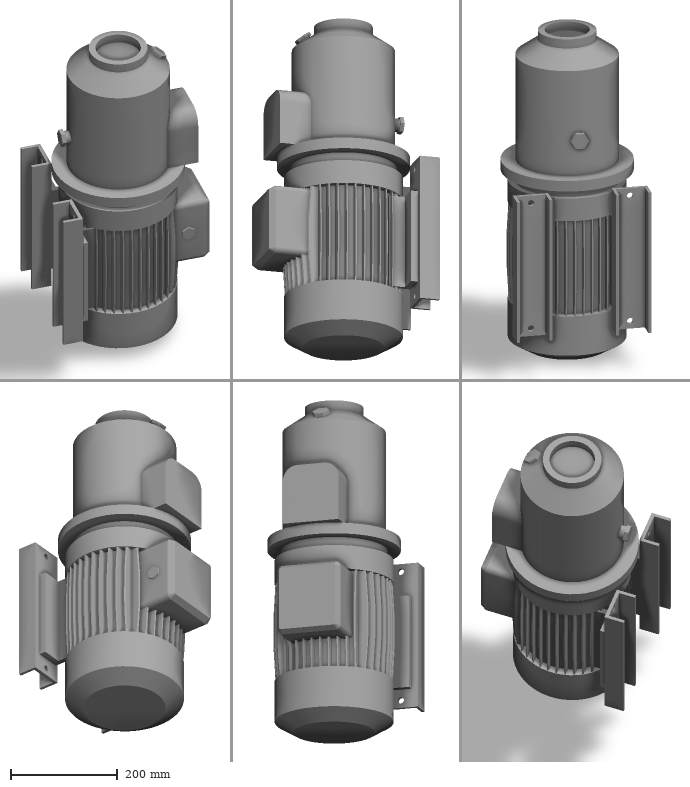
import cadquery as cq
import math


tank_radius = 97.0
tank_height = 257.0
collar_radius = 55.0
collar_height = 18.0
collar_bore_radius = 42.5
collar_bore_depth = 18.0
cone_height = 30.0
cone_top_z = tank_height - collar_height
cone_bottom_z = cone_top_z - cone_height

tank_box_width = 110.0
tank_box_height = 112.0
tank_box_back_y = 140.0
tank_box_corner_radius = 29.0

plug_across_corners = 33.5
plug_head_thickness = 8.0
plug_stem_diameter = 25.0
drain_plug_z = 74.0
drain_plug_reach = 115.0
fill_plug_standoff = 1.5
fill_plug_head_thickness = 7.0

flange_radius = 125.0
flange_thickness = 21.0
neck_radius = 100.0
neck_height = 19.0
drum_radius = 111.5
upper_drum_height = 45.0
fin_length = 190.0
core_radius = 97.5
cowl_height = 78.5
cowl_cone_height = 20.5
cowl_end_radius = 77.0
neck_top_z = -flange_thickness
drum_top_z = neck_top_z - neck_height
fin_top_z = drum_top_z - upper_drum_height
fin_bottom_z = fin_top_z - fin_length
fin_middle_z = (fin_top_z + fin_bottom_z) / 2
cowl_cone_z = fin_bottom_z - cowl_height
motor_bottom_z = cowl_cone_z - cowl_cone_height

fins_per_side = 10
fin_thickness = 2.5
fin_angle_pitch = 8.45
fin_end_radius = 110.0
fin_middle_radius = 114.0
fin_root_distance = 65.0

terminal_box_width = 124.0
terminal_box_height = 133.0
terminal_box_back_y = 162.0
terminal_box_corner_radius = 10.0
lid_bevel_depth = 12.0
lid_bevel_inset = 7.0
gland_across_flats = 23.5
gland_thickness = 4.0
gland_y = 118.0

rail_width = 68.0
rail_depth = 38.5
rail_length = 280.0
rail_web_thickness = 7.0
rail_leg_thickness = 6.0
rail_outer_x = 129.0
rail_front_y = -150.0
rail_middle_z = -165.0
rail_hole_diameter = 12.0
rail_hole_spacing = 250.0
rail_middle_x = rail_outer_x - rail_width / 2
rail_back_y = rail_front_y + rail_depth
foot_length = 178.0
foot_inner_x = 66.0
foot_outer_x = 116.0
foot_pad_thickness = 13.5
foot_web_thickness = 10.0
foot_web_top_y = -66.0


def box_between(x_range, y_range, z_range):
    """Box given by its lower and upper limits on each axis."""
    size = [high - low for low, high in (x_range, y_range, z_range)]
    corner = (x_range[0], y_range[0], z_range[0])
    return cq.Workplane("XY").box(*size, centered=False).translate(corner)


def hexagon_plug(base, direction, standoff, head_thickness):
    """Hexagon head on a round stem; the stem also runs back below the base point."""
    plane = cq.Plane(origin=base, xDir=(1, 0, 0), normal=direction)
    stem_root = 10.0
    stem = (
        cq.Workplane(plane)
        .workplane(offset=-stem_root)
        .circle(plug_stem_diameter / 2)
        .extrude(stem_root + standoff)
    )
    head = (
        cq.Workplane(plane)
        .workplane(offset=standoff)
        .polygon(6, plug_across_corners)
        .extrude(head_thickness)
    )
    return stem.union(head)


def make_tank():
    shell = (
        cq.Workplane("XZ")
        .moveTo(0, 0)
        .lineTo(tank_radius, 0)
        .lineTo(tank_radius, cone_bottom_z)
        .lineTo(collar_radius, cone_top_z)
        .lineTo(collar_radius, tank_height)
        .lineTo(collar_bore_radius, tank_height)
        .lineTo(collar_bore_radius, tank_height - collar_bore_depth)
        .lineTo(0, tank_height - collar_bore_depth)
        .close()
        .revolve(360, (0, 0, 0), (0, 1, 0))
    )
    half_width = tank_box_width / 2
    back_box = (
        box_between((-half_width, half_width), (0, tank_box_back_y), (0, tank_box_height))
        .edges("|Y and >Z")
        .fillet(tank_box_corner_radius)
    )
    drain_standoff = drain_plug_reach - plug_head_thickness - tank_radius
    drain_plug = hexagon_plug(
        (0, -tank_radius, drain_plug_z), (0, -1, 0), drain_standoff, plug_head_thickness
    )
    fill_base = (0, (tank_radius + collar_radius) / 2, (cone_top_z + cone_bottom_z) / 2)
    fill_direction = (0, cone_height, tank_radius - collar_radius)
    fill_plug = hexagon_plug(fill_base, fill_direction, fill_plug_standoff, fill_plug_head_thickness)
    return shell.union(back_box).union(drain_plug).union(fill_plug)


def make_motor_frame():
    """Flange, neck, drum, finned core and fan cowl as one turned shape."""
    return (
        cq.Workplane("XZ")
        .moveTo(0, 0)
        .lineTo(flange_radius, 0)
        .lineTo(flange_radius, neck_top_z)
        .lineTo(neck_radius, neck_top_z)
        .lineTo(neck_radius, drum_top_z)
        .lineTo(drum_radius, drum_top_z)
        .lineTo(drum_radius, fin_top_z)
        .lineTo(core_radius, fin_top_z)
        .lineTo(core_radius, fin_bottom_z)
        .lineTo(drum_radius, fin_bottom_z)
        .lineTo(drum_radius, cowl_cone_z)
        .lineTo(cowl_end_radius, motor_bottom_z)
        .lineTo(0, motor_bottom_z)
        .close()
        .revolve(360, (0, 0, 0), (0, 1, 0))
    )


def make_fins():
    """Parallel fins on all four sides, their tips evenly spread around the barrel."""
    barrel = (
        cq.Workplane("XZ")
        .moveTo(0, fin_top_z)
        .lineTo(fin_end_radius, fin_top_z)
        .threePointArc((fin_middle_radius, fin_middle_z), (fin_end_radius, fin_bottom_z))
        .lineTo(0, fin_bottom_z)
        .close()
        .revolve(360, (0, 0, 0), (0, 1, 0))
    )
    blanks = cq.Workplane("XY")
    for index in range(fins_per_side):
        angle = math.radians((index - (fins_per_side - 1) / 2) * fin_angle_pitch)
        offset = fin_middle_radius * math.sin(angle)
        blank = box_between(
            (offset - fin_thickness / 2, offset + fin_thickness / 2),
            (fin_root_distance, fin_middle_radius),
            (fin_bottom_z, fin_top_z),
        )
        for side in range(4):
            blanks = blanks.add(blank.rotate((0, 0, 0), (0, 0, 1), 90 * side))
    return blanks.combine().intersect(barrel)


def make_terminal_box():
    half_width = terminal_box_width / 2
    lid_y = terminal_box_back_y - lid_bevel_depth
    bottom_z = fin_top_z - terminal_box_height
    middle_z = (fin_top_z + bottom_z) / 2
    body = (
        box_between((-half_width, half_width), (0, lid_y), (bottom_z, fin_top_z))
        .edges("|Y")
        .fillet(terminal_box_corner_radius)
    )
    lid_angle = math.degrees(math.atan2(lid_bevel_inset, lid_bevel_depth))
    lid = (
        cq.Workplane("XZ", origin=(0, lid_y, middle_z))
        .sketch()
        .rect(terminal_box_width, terminal_box_height)
        .vertices()
        .fillet(terminal_box_corner_radius)
        .finalize()
        .extrude(-lid_bevel_depth, taper=lid_angle)
    )
    gland = (
        cq.Workplane("YZ", origin=(half_width, gland_y, middle_z))
        .transformed(rotate=(0, 0, 90))
        .polygon(6, gland_across_flats / math.cos(math.radians(30)))
        .extrude(gland_thickness)
    )
    return body.union(lid).union(gland)


def make_foot_and_rail():
    """Foot and channel rail on the +X side."""
    foot_z = (fin_middle_z - foot_length / 2, fin_middle_z + foot_length / 2)
    foot_pad = box_between(
        (foot_inner_x, foot_outer_x), (rail_back_y, rail_back_y + foot_pad_thickness), foot_z
    )
    foot_web = box_between(
        (foot_inner_x, foot_inner_x + foot_web_thickness), (rail_back_y, foot_web_top_y), foot_z
    )
    rail_z = (rail_middle_z - rail_length / 2, rail_middle_z + rail_length / 2)
    rail_inner_x = rail_outer_x - rail_width
    rail = box_between((rail_inner_x, rail_outer_x), (rail_front_y, rail_back_y), rail_z)
    channel = box_between(
        (rail_inner_x + rail_leg_thickness, rail_outer_x - rail_leg_thickness),
        (rail_front_y, rail_back_y - rail_web_thickness),
        rail_z,
    )
    holes = (
        cq.Workplane("XZ", origin=(rail_middle_x, rail_back_y, rail_middle_z))
        .rarray(1, rail_hole_spacing, 1, 2)
        .circle(rail_hole_diameter / 2)
        .extrude(rail_web_thickness)
    )
    return rail.cut(channel).cut(holes).union(foot_pad).union(foot_web)


def make_motor():
    motor = make_motor_frame().union(make_fins()).union(make_terminal_box())
    foot_and_rail = make_foot_and_rail()
    return motor.union(foot_and_rail).union(foot_and_rail.mirror("YZ"))


tank = make_tank()
motor = make_motor()

result = cq.Compound.makeCompound([tank.val(), motor.val()])